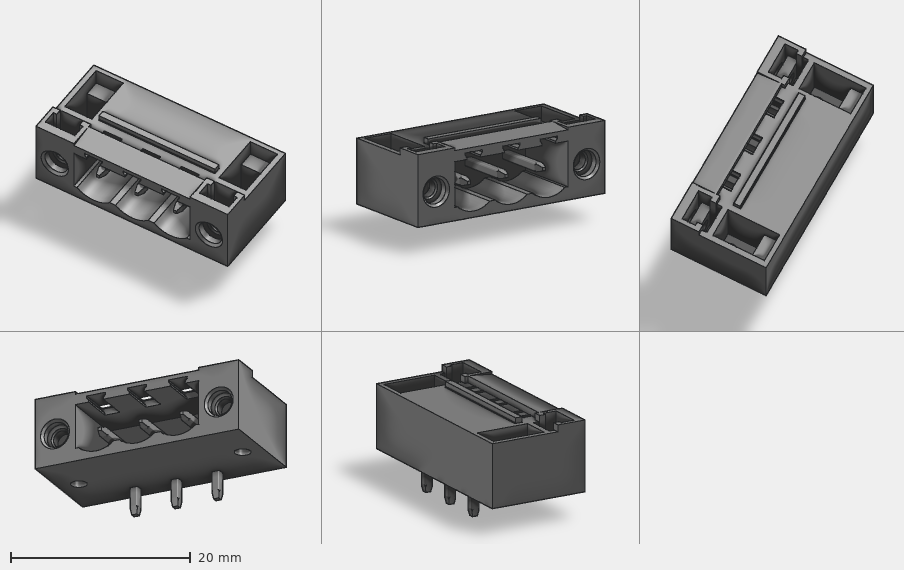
import cadquery as cq


LENGTH = 25.25
DEPTH = 12.0
HEIGHT = 8.4
REAR_DROP = 0.8
REAR_Z = HEIGHT - REAR_DROP
END_STEP_Y = 3.5
MIDDLE_STEP_Y = 3.08

PITCH = 5.07
PIN_XS = [-PITCH, 0, PITCH]
END_XS = [-2 * PITCH, 2 * PITCH]
AXIS_Z = 3.75

SHROUD_WIDTH = 15.27
SHROUD_DEPTH = 8.33
SHROUD_TOP_Z = 6.81
SHROUD_FLOOR_Z = 1.55
SCALLOP_WIDTH = 4.3
SCALLOP_BOTTOM_Z = 0.73

SLOPE_LENGTH = 2.78
SLOPE_DROP = 0.3

KEYWAY_WIDTH = 2.32
KEYWAY_NECK_WIDTH = 1.82
KEYWAY_DEPTH = 4.11
KEYWAY_LIP = 0.23
KEYWAY_NECK_Z = SHROUD_TOP_Z + 0.23

RIDGE_FRONT_Y = 5.22
RIDGE_WIDTH = 0.8
RIDGE_HEIGHT = 0.65
RIDGE_FOOT = 0.08

POCKET_WIDTH = 3.55
POCKET_FRONT_Y = 4.9
POCKET_BACK_Y = 11.4
POCKET_FLOOR_Z = 1.0
LEDGE_FRONT_Y = 9.5
LEDGE_Z = 5.6
SCREW_HOLE_DIAMETER = 1.85
SCREW_HOLE_Y = 6.0

NUT_WIDTH = 3.89
NUT_FRONT_Y = 1.5
NUT_BACK_Y = 2.78
NUT_BORE_RADIUS = 1.0
NUT_BORE_CHAMFER = 0.2
SLOT_FRONT_Y = 1.1
SLOT_NECK_WIDTH = 3.0
SLOT_BACK_Y = 4.16
SLOT_CORNER_RADIUS = 0.1
SLOT_FLOOR_Z = AXIS_Z - NUT_WIDTH / 2
BOLT_HOLE_RADIUS = 1.5
BOLT_HOLE_CHAMFER = 0.3

PIN_WIDTH = 1.0
PIN_EDGE_RADIUS = 0.2
CONTACT_TIP_Y = 0.93
CONTACT_TIP_WIDTH = 0.4
CONTACT_TAPER = 1.1
LEG_Y = 9.95
LEG_TIP_Z = -3.23
LEG_TIP_WIDTH = 0.63
LEG_TAPER = 0.95


def box(width, y_range, z_range, x=0):
    """A block centred on x, between the given Y and Z limits."""
    (y0, y1), (z0, z1) = y_range, z_range
    return cq.Workplane("XY").box(width, y1 - y0, z1 - z0, centered=(True, False, False)).translate((x, y0, z0))


def extrude_back(outline, depth):
    """An XZ outline starting at the mating face, extruded toward +Y."""
    return outline.extrude(-depth)


def extrude_along_row(yz_points, length):
    """A YZ polygon extruded along X, centred on the row."""
    return cq.Workplane("YZ").polyline(yz_points).close().extrude(length / 2, both=True)



def block():
    body = box(LENGTH, (0, DEPTH), (0, REAR_Z))
    front = box(LENGTH, (0, END_STEP_Y), (REAR_Z, HEIGHT))
    middle_relief = box(SHROUD_WIDTH, (MIDDLE_STEP_Y, END_STEP_Y), (REAR_Z, HEIGHT))
    return body.union(front.cut(middle_relief))


def ridge():
    back_y = RIDGE_FRONT_Y + RIDGE_WIDTH
    foot_z = REAR_Z + RIDGE_FOOT
    top_z = REAR_Z + RIDGE_HEIGHT
    section = [
        (RIDGE_FRONT_Y - RIDGE_FOOT, REAR_Z),
        (RIDGE_FRONT_Y, foot_z),
        (RIDGE_FRONT_Y, top_z),
        (back_y, top_z),
        (back_y, foot_z),
        (back_y + RIDGE_FOOT, REAR_Z),
    ]
    return extrude_along_row(section, SHROUD_WIDTH)


def shroud_slope():
    section = [(0, HEIGHT - SLOPE_DROP), (SLOPE_LENGTH, HEIGHT), (0, HEIGHT)]
    return extrude_along_row(section, SHROUD_WIDTH)


def shroud_cavity():
    outline = cq.Workplane("XZ").moveTo(-SHROUD_WIDTH / 2, SHROUD_TOP_Z)
    outline = outline.lineTo(-SHROUD_WIDTH / 2, SHROUD_FLOOR_Z)
    for x in PIN_XS:
        outline = outline.lineTo(x - SCALLOP_WIDTH / 2, SHROUD_FLOOR_Z)
        outline = outline.threePointArc((x, SCALLOP_BOTTOM_Z), (x + SCALLOP_WIDTH / 2, SHROUD_FLOOR_Z))
    outline = outline.lineTo(SHROUD_WIDTH / 2, SHROUD_FLOOR_Z)
    outline = outline.lineTo(SHROUD_WIDTH / 2, SHROUD_TOP_Z).close()
    return extrude_back(outline, SHROUD_DEPTH)


def keyway(x):
    half_top = KEYWAY_WIDTH / 2
    half_neck = KEYWAY_NECK_WIDTH / 2
    lip_z = REAR_Z - KEYWAY_LIP
    outline = cq.Workplane("XZ").polyline([
        (x - half_neck, SHROUD_TOP_Z),
        (x - half_neck, KEYWAY_NECK_Z),
        (x - half_top, lip_z),
        (x - half_top, REAR_Z),
        (x + half_top, REAR_Z),
        (x + half_top, lip_z),
        (x + half_neck, KEYWAY_NECK_Z),
        (x + half_neck, SHROUD_TOP_Z),
    ]).close()
    return extrude_back(outline, KEYWAY_DEPTH)


def screw_pocket(x):
    """Pocket open at the top, with a raised ledge at its back and a hole through its floor."""
    pocket = box(POCKET_WIDTH, (POCKET_FRONT_Y, POCKET_BACK_Y), (POCKET_FLOOR_Z, REAR_Z), x)
    ledge = box(POCKET_WIDTH, (LEDGE_FRONT_Y, POCKET_BACK_Y), (POCKET_FLOOR_Z, LEDGE_Z), x)
    hole = cq.Workplane("XY").center(x, SCREW_HOLE_Y).circle(SCREW_HOLE_DIAMETER / 2).extrude(REAR_Z)
    return pocket.cut(ledge).union(hole)


def nut_slot(x):
    """Slot open at the top: a wide front for the nut, a neck and a rounded back chamber."""
    z_range = (SLOT_FLOOR_Z, HEIGHT)
    front = box(NUT_WIDTH, (SLOT_FRONT_Y, NUT_BACK_Y), z_range, x)
    neck = box(SLOT_NECK_WIDTH, (NUT_BACK_Y, END_STEP_Y), z_range, x)
    back = box(POCKET_WIDTH, (END_STEP_Y, SLOT_BACK_Y), z_range, x)
    back = back.edges("|Z and >Y").fillet(SLOT_CORNER_RADIUS)
    return front.union(neck).union(back)


def chamfered_bore(x, y0, y1, radius, chamfer):
    """A bore along Y from y0 to y1 on the nut axis, widened by a 45 degree chamfer at y0."""
    profile = [(0, y0), (radius + chamfer, y0), (radius, y0 + chamfer), (radius, y1), (0, y1)]
    bore = cq.Workplane("XY").polyline(profile).close().revolve(360, (0, 0, 0), (0, 1, 0))
    return bore.translate((x, 0, AXIS_Z))


def make_housing(pins):
    body = block().union(ridge())
    body = body.cut(shroud_slope()).cut(shroud_cavity())
    for x in PIN_XS:
        body = body.cut(keyway(x))
    for x in END_XS:
        body = body.cut(screw_pocket(x))
        body = body.cut(nut_slot(x))
        body = body.cut(chamfered_bore(x, 0, SLOT_FRONT_Y, BOLT_HOLE_RADIUS, BOLT_HOLE_CHAMFER))
    for pin in pins:
        body = body.cut(pin)
    return body



def make_nut(x):
    half = NUT_WIDTH / 2
    nut = box(NUT_WIDTH, (NUT_FRONT_Y, NUT_BACK_Y), (AXIS_Z - half, AXIS_Z + half), x)
    return nut.cut(chamfered_bore(x, NUT_FRONT_Y, NUT_BACK_Y, NUT_BORE_RADIUS, NUT_BORE_CHAMFER))



def tapered_bar(length, taper, tip_width):
    """A square bar with rounded edges standing on Z = 0, where it tapers down to tip_width."""
    point = cq.Workplane("XY").rect(tip_width, tip_width)
    point = point.workplane(offset=taper).rect(PIN_WIDTH, PIN_WIDTH).loft(ruled=True)
    shank = cq.Workplane("XY").workplane(offset=taper).rect(PIN_WIDTH, PIN_WIDTH).extrude(length - taper)
    rounded = cq.Workplane("XY").rect(PIN_WIDTH, PIN_WIDTH).extrude(length).edges("|Z").fillet(PIN_EDGE_RADIUS)
    return point.union(shank).intersect(rounded)


def make_pin(x):
    """An L-shaped pin: a contact pointing to the mating face and a leg pointing down."""
    half = PIN_WIDTH / 2
    contact = tapered_bar(LEG_Y + half - CONTACT_TIP_Y, CONTACT_TAPER, CONTACT_TIP_WIDTH)
    contact = contact.rotate((0, 0, 0), (1, 0, 0), -90).translate((x, CONTACT_TIP_Y, AXIS_Z))
    leg = tapered_bar(AXIS_Z + half - LEG_TIP_Z, LEG_TAPER, LEG_TIP_WIDTH)
    leg = leg.translate((x, LEG_Y, LEG_TIP_Z))
    return contact.union(leg)


pins = [make_pin(x) for x in PIN_XS]
nuts = [make_nut(x) for x in END_XS]
housing = make_housing(pins)

bodies = [housing, *pins, *nuts]
result = cq.Compound.makeCompound([body.solids().val() for body in bodies])